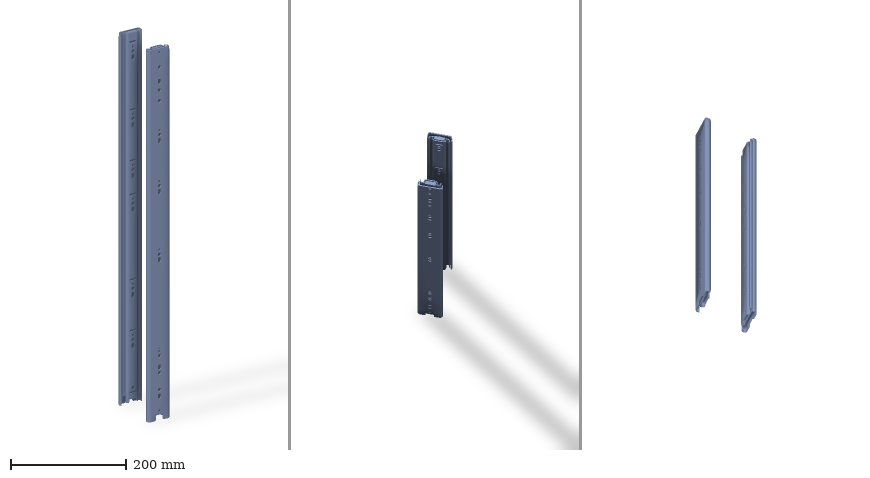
import cadquery as cq
import math


length = 700.0
pair_width = 100.0
outer_wall = 1.75
nested_wall = 1.5

outer_width = 45.5
outer_bend = 5.5
outer_lip_angle = 45.0

middle_web_depth = 6.45
middle_width = 38.0
middle_bend = 4.0
middle_lip_angle = 70.0

inner_face_depth = 14.0
inner_width = 24.5
inner_bend = 4.0
inner_lip_angle = 100.0

middle_bottom = 17.0
inner_bottom = 4.0
top_trim_height = 6.0
top_trim_width = 43.0
notch_width = 15.0
notch_top = 10.5
notch_corner = 2.0

stop_width = 18.0
stop_thickness = 3.5
stop_start = 5.25
stop_end = 11.0

screw_hole = 6.4
pilot_hole = 4.4
end_hole = 4.6
small_hole = 3.3
slot_height = 10.0
tall_slot_width = 6.4
cross_slot_width = 14.0
cross_slot_height = 3.5
pilot_offset = 8.5
slot_offset = -11.0
cross_slot_offset = 17.5

outer_group_heights = [122.0, 312.0, 442.0, 537.5]
outer_screw_heights = [57.5, 89.5, 601.0, 621.5, 665.0]
outer_slot_heights = [45.5, 100.0, 302.5, 430.5, 526.5, 638.0]
outer_small_hole_height = 135.0
outer_end_heights = [18.0, 692.0]
middle_screw_heights = [122.0, 442.0, 537.5, 665.0]
middle_slot_heights = [430.5, 526.5]
inner_group_heights = [122.0, 218.0, 378.0, 442.0, 537.5, 665.0]
inner_low_screw_height = 31.5
inner_low_cross_slot_height = 23.0

cut_depth = 21.0


def polar(center, radius, angle):
    """Point on a circle, with the angle in degrees from the depth direction."""
    turn = math.radians(angle)
    return (center[0] + radius * math.cos(turn), center[1] + radius * math.sin(turn))


def flipped(point):
    return (point[0], -point[1])


def channel(face_depth, opening, wall, width, bend, lip_angle, bottom):
    """C-shaped rail: a flat web with a rounded flange along each side.

    opening is 1 for a channel that opens toward greater depth and -1 for one that opens the
    other way. Each flange is an arc that starts in line with the web and ends at lip_angle.
    """
    center = (face_depth + opening * bend, width / 2 - bend)
    web_angle = 180 if opening > 0 else 0
    middle_angle = (web_angle + lip_angle) / 2
    angles = (web_angle, middle_angle, lip_angle)
    outside = [polar(center, bend, angle) for angle in angles]
    inside = [polar(center, bend - wall, angle) for angle in angles]
    section = (
        cq.Workplane("XY").workplane(offset=bottom)
        .moveTo(*flipped(outside[0]))
        .lineTo(*outside[0])
        .threePointArc(outside[1], outside[2])
        .lineTo(*inside[2])
        .threePointArc(inside[1], inside[0])
        .lineTo(*flipped(inside[0]))
        .threePointArc(flipped(inside[1]), flipped(inside[2]))
        .lineTo(*flipped(outside[2]))
        .threePointArc(flipped(outside[1]), flipped(outside[0]))
        .close()
    )
    return section.extrude(length - bottom)


def web_plane():
    """Sketch plane on the mounting face: its axes are Y and Z, and it extrudes along the depth."""
    return cq.Workplane("YZ")


def round_holes(diameter, heights):
    return web_plane().pushPoints([(0, z) for z in heights]).circle(diameter / 2).extrude(cut_depth)


def tall_slots(heights):
    places = [(0, z) for z in heights]
    return web_plane().pushPoints(places).slot2D(slot_height, tall_slot_width, 90).extrude(cut_depth)


def cross_slots(heights):
    places = [(0, z) for z in heights]
    return web_plane().pushPoints(places).slot2D(cross_slot_width, cross_slot_height).extrude(cut_depth)


def shifted(heights, offset):
    return [z + offset for z in heights]


def bottom_notch(bottom):
    """Notch in the bottom edge of a web, with its mouth corners rounded off."""
    half = notch_width / 2
    mouth = half + notch_corner
    shoulder = bottom + notch_corner
    arc_side = notch_corner * (1 - math.sqrt(0.5))
    return (
        web_plane()
        .moveTo(-mouth, bottom)
        .threePointArc((-half - arc_side, bottom + arc_side), (-half, shoulder))
        .lineTo(-half, notch_top)
        .lineTo(half, notch_top)
        .lineTo(half, shoulder)
        .threePointArc((half + arc_side, bottom + arc_side), (mouth, bottom))
        .close()
        .extrude(cut_depth)
    )


def outer_rail():
    rail = channel(0, 1, outer_wall, outer_width, outer_bend, outer_lip_angle, 0)
    trim_center = length - top_trim_height / 2
    trim = (
        cq.Workplane("XY").box(2 * cut_depth, 2 * outer_width, top_trim_height)
        .cut(cq.Workplane("XY").box(2 * cut_depth, top_trim_width, top_trim_height))
        .translate((0, 0, trim_center))
    )
    screws = outer_group_heights + outer_screw_heights
    return (
        rail.cut(trim)
        .cut(bottom_notch(0))
        .cut(round_holes(screw_hole, screws))
        .cut(round_holes(pilot_hole, shifted(outer_group_heights, pilot_offset)))
        .cut(round_holes(end_hole, outer_end_heights))
        .cut(round_holes(small_hole, [outer_small_hole_height]))
        .cut(tall_slots(outer_slot_heights))
    )


def middle_rail():
    rail = channel(
        middle_web_depth, 1, nested_wall,
        middle_width, middle_bend, middle_lip_angle, middle_bottom,
    )
    stop = cq.Workplane("XY").box(
        stop_end - stop_start, stop_width, stop_thickness, centered=(False, True, False)
    ).translate((stop_start, 0, length - stop_thickness))
    return (
        rail.cut(round_holes(screw_hole, middle_screw_heights))
        .cut(tall_slots(middle_slot_heights))
        .union(stop)
    )


def inner_rail():
    rail = channel(
        inner_face_depth, -1, nested_wall,
        inner_width, inner_bend, inner_lip_angle, inner_bottom,
    )
    cross = shifted(inner_group_heights, cross_slot_offset) + [inner_low_cross_slot_height]
    return (
        rail.cut(bottom_notch(inner_bottom))
        .cut(round_holes(screw_hole, inner_group_heights + [inner_low_screw_height]))
        .cut(round_holes(pilot_hole, shifted(inner_group_heights, pilot_offset)))
        .cut(tall_slots(shifted(inner_group_heights, slot_offset)))
        .cut(cross_slots(cross))
    )


bodies = []
for make_rail in (outer_rail, middle_rail, inner_rail):
    left_rail = make_rail().translate((-pair_width / 2, 0, 0))
    right_rail = left_rail.mirror("YZ")
    bodies += [left_rail.val(), right_rail.val()]

result = cq.Compound.makeCompound(bodies)